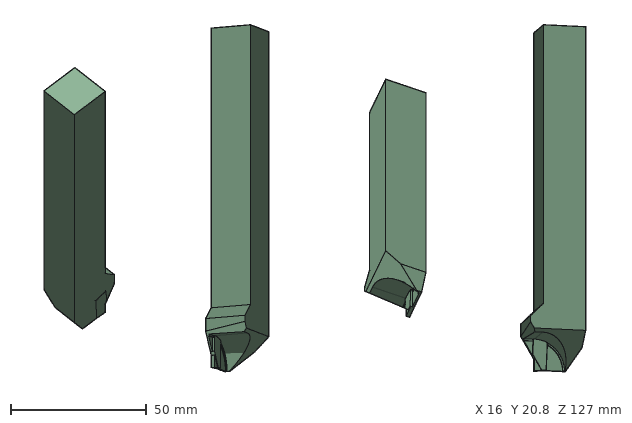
import cadquery as cq

length = 127.0
width = 16.0
nose_reach = 4.8
nose_y = width + nose_reach
nose_top_z = 17.5
nose_bottom_z = 12.8
shank_bottom_z = 0.4

back_bevel_z = 13.0
back_bevel_end_x = 14.4
side_bevel_z = 7.6
side_bevel_end_y = 4.2
nose_bevel_end_y = 13.5
nose_relief = 2.4

pocket_center_y = width
pocket_radius = 11.4
ledge_width = 0.6
ledge_x = 14.9
pocket_floor_x = 15.2

insert_face_x = 14.4
insert_right_top_y = 11.0
insert_right_bottom_y = 11.5
insert_left_top_y = 16.4
insert_left_bottom_y = 16.9
tip_x = 14.6
tip_y = 16.0
tip_height = 4.6

margin = 6.4


def prism_along_x(points, start_x, end_x):
    """Extrude a (Y, Z) outline from start_x to end_x."""
    outline = cq.Workplane("YZ", origin=(start_x, 0, 0)).polyline(points).close()
    return outline.extrude(end_x - start_x)


def back_bevel_cutter():
    """Wedge below the slope that runs from the -X face to the tip."""
    slope = back_bevel_z / back_bevel_end_x
    outside_z = back_bevel_z + slope * margin
    beyond_x = back_bevel_end_x + margin
    points = [(-margin, outside_z), (beyond_x, -slope * margin), (-margin, -slope * margin)]
    outline = cq.Workplane("XZ", origin=(0, nose_y + margin, 0)).polyline(points).close()
    return outline.extrude(nose_y + 2 * margin)


def nose_bevel_cutter():
    """Wedge below the nose bevel, which rises towards the -X face."""
    slope = (nose_bottom_z - shank_bottom_z) / (nose_y - nose_bevel_end_y)

    def bevel_outline(x, rise):
        upper = (nose_y + margin, nose_bottom_z + slope * margin + rise)
        lower = (nose_bevel_end_y - margin, shank_bottom_z - slope * margin + rise)
        corner = (upper[0], lower[1])
        return cq.Wire.makePolygon([cq.Vector(x, y, z) for y, z in (upper, lower, corner)], close=True)

    wires = [bevel_outline(0, nose_relief), bevel_outline(width, 0)]
    return cq.Workplane(cq.Solid.makeLoft(wires, True))


def pocket_outline(radius, start_x, end_x):
    """Quarter round that runs straight out to the +Y side."""
    bottom_z = shank_bottom_z - margin
    disc = (
        cq.Workplane("YZ", origin=(start_x, 0, 0))
        .center(pocket_center_y, shank_bottom_z)
        .circle(radius)
        .extrude(end_x - start_x)
    )
    top_z = shank_bottom_z + radius
    side = prism_along_x(
        [
            (pocket_center_y, bottom_z),
            (nose_y + margin, bottom_z),
            (nose_y + margin, top_z),
            (pocket_center_y, top_z),
        ],
        start_x,
        end_x,
    )
    return disc.union(side)


def make_insert():
    """Tapered bar with a rounded upper end, plus the cutting tip at its base."""
    top_z = shank_bottom_z + pocket_radius
    bar = prism_along_x(
        [
            (insert_right_bottom_y, shank_bottom_z),
            (insert_right_top_y, top_z),
            (insert_left_top_y, top_z),
            (insert_left_bottom_y, shank_bottom_z),
        ],
        insert_face_x,
        width,
    )
    bar = bar.intersect(pocket_outline(pocket_radius, insert_face_x, width))
    bar = bar.cut(nose_bevel_cutter())
    tip = prism_along_x(
        [
            (insert_right_bottom_y, shank_bottom_z),
            (tip_y, 0),
            (tip_y, tip_height),
            (insert_right_bottom_y, tip_height),
        ],
        tip_x,
        width,
    )
    return bar.union(tip)


def make_shank(insert):
    """Bevelled bar with the relief pocket and the seat of the insert."""
    body = prism_along_x(
        [
            (0, length),
            (0, side_bevel_z),
            (side_bevel_end_y, shank_bottom_z),
            (nose_bevel_end_y, shank_bottom_z),
            (nose_y, nose_bottom_z),
            (nose_y, nose_top_z),
            (width, nose_top_z + nose_reach),
            (width, length),
        ],
        0,
        width,
    )
    body = body.cut(back_bevel_cutter()).cut(nose_bevel_cutter())
    body = body.cut(pocket_outline(pocket_radius, -margin, ledge_x))
    body = body.cut(pocket_outline(pocket_radius - ledge_width, -margin, pocket_floor_x))
    return body.cut(insert)


insert = make_insert()
shank = make_shank(insert)

result = cq.Compound.makeCompound([shank.solids().val(), insert.solids().val()])